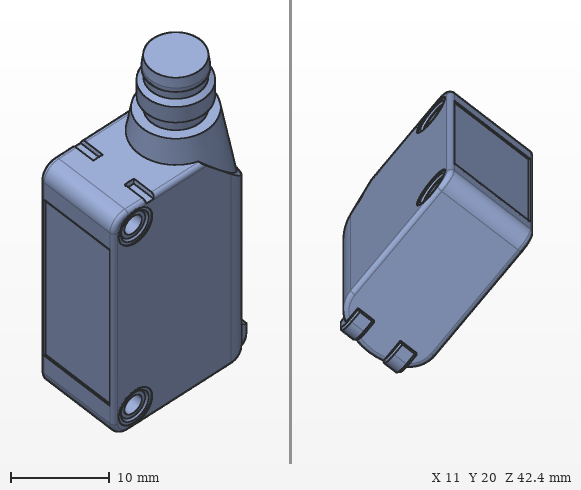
import cadquery as cq
import math

width = 11.0
depth = 20.0
total_height = 42.4
half_width = width / 2

housing_bottom = 0.8
housing_top = 31.8
housing_height = housing_top - housing_bottom
front_corner_radius = 2.05
edge_radius = 0.55

back_radius = 7.55
back_blend_radius = 3.35

slope_bottom = 23.95
slope_run = housing_top - slope_bottom

connector_y = 13.55
collar_top = 35.0
collar_top_radius = 4.55
collar_base_radius = depth - connector_y
neck_radius = 3.3
lip_radius = 3.48
ring_radius = 4.0
ring_bottom = 36.7
ring_top = 38.92
ring_bevel_height = 0.45
lip_groove_top = 40.35
lip_bottom = 40.55
lip_top = 41.13

hole_inset_y = 3.05
hole_inset_z = 2.8
hole_radius = 1.2
seat_radius = 1.65
countersink_radius = 1.9
rim_radius = 2.3
rim_depth = 0.13
seat_depth = 0.4

window_width = 9.85
window_bottom = 5.35
window_top = 27.3
window_depth = 0.13
window_wall_angle = 45

groove_y = 5.05
groove_length = 3.15
groove_top_width = 1.27
groove_depth = 0.5
groove_wall_angle = 16

foot_outer_x = 3.8
foot_inner_x = 1.7
foot_reach = 3.05
foot_radius = 1.7
foot_straight_top = 2.85
foot_top = 3.9
foot_root_depth = 1.5
foot_bevel = 0.25


def back_plan(height):
    """Prism with the housing's plan outline, standing on the housing bottom."""
    blend_x = half_width - back_blend_radius
    center_gap = back_radius - back_blend_radius
    blend_rise = math.sqrt(center_gap**2 - blend_x**2)
    back_center_y = depth - back_radius
    blend_y = back_center_y + blend_rise
    join_x = blend_x * back_radius / center_gap
    join_y = back_center_y + blend_rise * back_radius / center_gap
    middle_angle = math.atan2(blend_rise, blend_x) / 2
    middle_x = blend_x + back_blend_radius * math.cos(middle_angle)
    middle_y = blend_y + back_blend_radius * math.sin(middle_angle)
    return (
        cq.Workplane("XY", origin=(0, 0, housing_bottom))
        .moveTo(-half_width, 0)
        .lineTo(half_width, 0)
        .lineTo(half_width, blend_y)
        .threePointArc((middle_x, middle_y), (join_x, join_y))
        .threePointArc((0, depth), (-join_x, join_y))
        .threePointArc((-middle_x, middle_y), (-half_width, blend_y))
        .close()
        .extrude(height)
    )


def make_housing():
    body = back_plan(housing_height)
    body = body.faces("<Y").edges("|X").fillet(front_corner_radius)
    body = body.faces("<Y").edges("|Z").fillet(edge_radius)
    slope_cut = (
        cq.Workplane("YZ")
        .moveTo(depth, slope_bottom)
        .lineTo(depth, housing_top)
        .lineTo(depth - slope_run, housing_top)
        .close()
        .extrude(half_width, both=True)
    )
    return body.cut(slope_cut)


def make_connector():
    """Turned plug and the conical collar, trimmed to the housing's plan."""
    turned = (
        cq.Workplane("XZ", origin=(0, connector_y, 0))
        .moveTo(0, slope_bottom)
        .lineTo(collar_base_radius, slope_bottom)
        .lineTo(collar_top_radius, collar_top)
        .lineTo(neck_radius, collar_top)
        .lineTo(neck_radius, ring_bottom - ring_bevel_height)
        .lineTo(ring_radius, ring_bottom)
        .lineTo(ring_radius, ring_top)
        .lineTo(neck_radius, ring_top + ring_bevel_height)
        .lineTo(neck_radius, lip_groove_top)
        .lineTo(lip_radius, lip_bottom)
        .lineTo(lip_radius, lip_top)
        .lineTo(neck_radius, total_height)
        .lineTo(0, total_height)
        .close()
        .revolve(360, (0, 0, 0), (0, 1, 0))
    )
    return turned.intersect(back_plan(total_height))


def make_foot():
    """Foot on the +X side, bevelled along its outer path."""
    middle_offset = foot_radius * (1 - math.sqrt(0.5))
    foot = (
        cq.Workplane("YZ", origin=(foot_inner_x, 0, 0))
        .moveTo(depth - foot_reach, 0)
        .lineTo(depth - foot_radius, 0)
        .threePointArc((depth - middle_offset, middle_offset), (depth, foot_radius))
        .lineTo(depth, foot_straight_top)
        .lineTo(depth - foot_root_depth, foot_top)
        .lineTo(depth - foot_reach, foot_top)
        .close()
        .extrude(foot_outer_x - foot_inner_x)
    )
    outer_path = foot.faces("<Z or >Y").edges("|Y or |Z")
    return outer_path.chamfer(foot_bevel)


def make_hole_cutter():
    """Cutter along X for the +X half of one mounting hole."""
    rim_x = half_width - rim_depth
    seat_x = half_width - seat_depth
    return (
        cq.Workplane("XY")
        .moveTo(0, 0)
        .lineTo(0, hole_radius)
        .lineTo(seat_x, hole_radius)
        .lineTo(seat_x, seat_radius)
        .lineTo(rim_x, countersink_radius)
        .lineTo(rim_x, rim_radius)
        .lineTo(half_width, rim_radius)
        .lineTo(half_width, 0)
        .close()
        .revolve(360, (0, 0, 0), (1, 0, 0))
    )


def make_groove_cutter():
    """Tapered groove on the +X side of the top face, running out past the side."""
    return (
        cq.Workplane("XY", origin=(half_width, groove_y, housing_top))
        .rect(2 * groove_length, groove_top_width)
        .extrude(-groove_depth, taper=groove_wall_angle)
    )


def make_window_cutter():
    """Shallow recess with sloped walls, cut inward from the front face."""
    window_height = window_top - window_bottom
    return (
        cq.Workplane("XZ", origin=(0, 0, window_bottom + window_height / 2))
        .rect(window_width, window_height)
        .extrude(-window_depth, taper=window_wall_angle)
    )


def on_both_sides(shape):
    return shape.union(shape.mirror("YZ"))


housing = make_housing()
housing = housing.cut(make_window_cutter())

hole = on_both_sides(make_hole_cutter())
for hole_z in (housing_bottom + hole_inset_z, housing_top - hole_inset_z):
    housing = housing.cut(hole.translate((0, hole_inset_y, hole_z)))

housing = housing.cut(on_both_sides(make_groove_cutter()))

result = housing.union(make_connector()).union(on_both_sides(make_foot()))